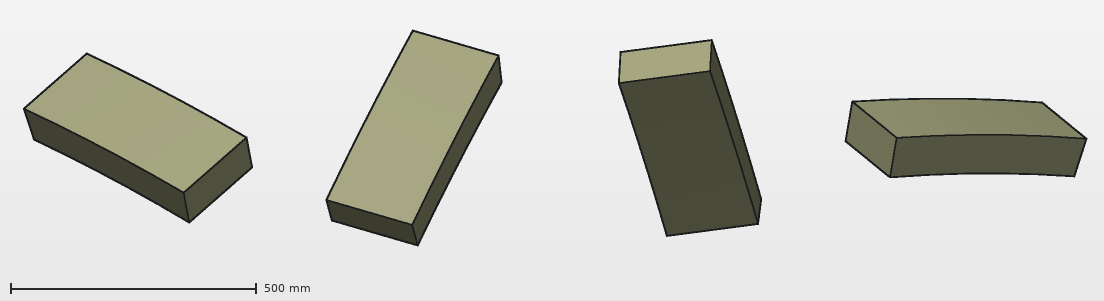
import cadquery as cq
import math

length = 454.0
width = 190.5
height = 183.0

lower_left = (28.0, 0.0)
lower_right = (length, 96.5)
upper_right = (438.5, height)
upper_left = (0.0, 79.0)

arc_rise = 7.5


def arc_crown(left, right):
    """Return the midpoint of the arc that bows upward from left to right."""
    dx = right[0] - left[0]
    dz = right[1] - left[1]
    chord = math.hypot(dx, dz)
    middle_x = (left[0] + right[0]) / 2
    middle_z = (left[1] + right[1]) / 2
    return (middle_x - arc_rise * dz / chord, middle_z + arc_rise * dx / chord)


result = (
    cq.Workplane("XZ")
    .moveTo(*lower_left)
    .threePointArc(arc_crown(lower_left, lower_right), lower_right)
    .lineTo(*upper_right)
    .threePointArc(arc_crown(upper_left, upper_right), upper_left)
    .close()
    .extrude(width / 2, both=True)
)